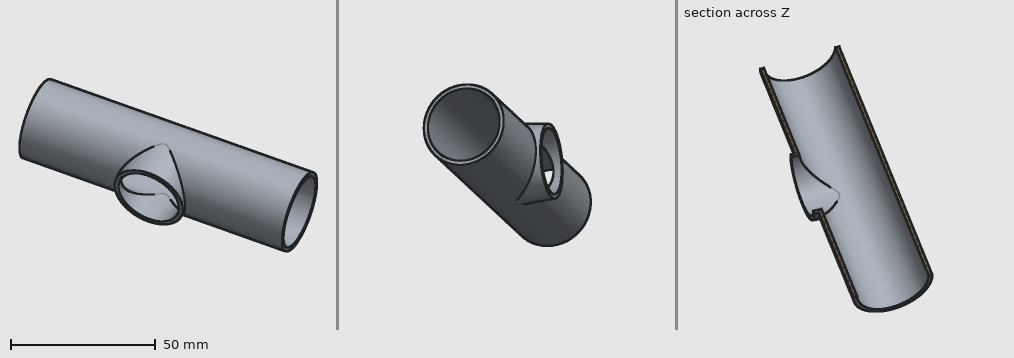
import cadquery as cq

length = 100.0
outer_diameter = 29.0
wall = 1.5

branch_reach = 16.0
branch_end_diameter = 26.0

outer_radius = outer_diameter / 2
bore_radius = outer_radius - wall
branch_end_radius = branch_end_diameter / 2
branch_bore_end_radius = branch_end_radius - wall


def tube_cylinder(radius):
    """Full-length cylinder centred on the X axis."""
    return cq.Workplane("YZ").circle(radius).extrude(length / 2, both=True)


def branch_cone(axis_radius, end_radius):
    """Cone narrowing from the tube axis to the open end of the branch."""
    cone = cq.Solid.makeCone(
        axis_radius, end_radius, branch_reach, cq.Vector(0, 0, 0), cq.Vector(0, -1, 0)
    )
    return cq.Workplane(obj=cone)


body = tube_cylinder(outer_radius).union(branch_cone(outer_radius, branch_end_radius))
result = body.cut(tube_cylinder(bore_radius)).cut(branch_cone(bore_radius, branch_bore_end_radius))